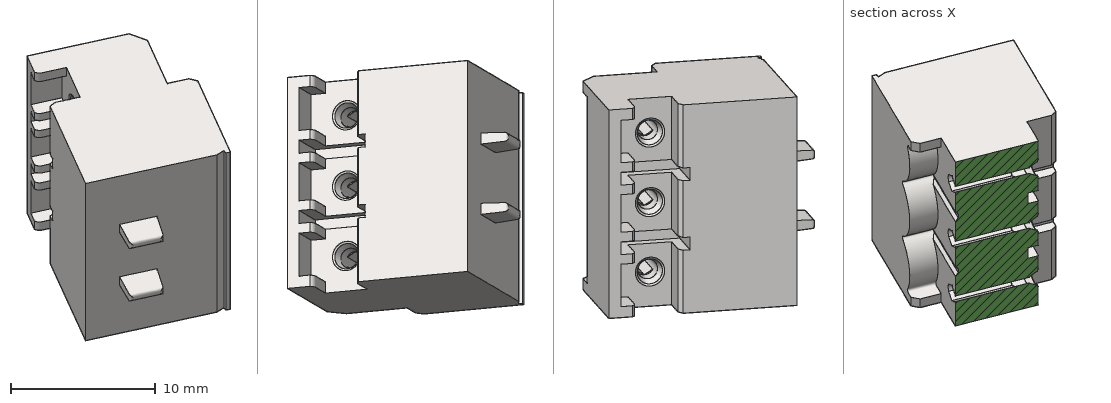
import cadquery as cq
import math

BODY_LENGTH = 13.41
BODY_DEPTH = 10.5
PITCH = 5.0
CONTACTS = 3
BODY_HEIGHT = CONTACTS * PITCH
HOLE_LEVELS = [PITCH * (i + 0.5) for i in range(CONTACTS)]
PARTING_LEVELS = [PITCH * i for i in range(1, CONTACTS)]
END_WALL = 0.8

SHOULDER_X = 5.54
SHOULDER_Y = 8.41
BACK_CHAMFER = 1.02
REAR_CHAMFER_X = 0.40
REAR_CHAMFER_Y = 0.53
LATCH_LIP = 0.34
LATCH_UNDERCUT_Y = 0.40
LATCH_DEPTH = 0.26
LATCH_END = 0.98

TROUGH_START_X = 1.93
TROUGH_END_X = 5.03
TROUGH_DEPTH = 2.25
LIP_RADIUS = 0.55
LIP_ROUND_X = 0.25
MOUTH_CHAMFER_X = 0.27
MOUTH_CHAMFER_Y = 0.43

LIP_THICKNESS = 0.875
TOOTH_HEIGHT = 2.3
SLOT_HEIGHT = 0.92
SLOT_END_X = 5.79
SLOT_DEPTH = 3.0

HOLE_X = 3.5
HOLE_DIAMETER = 1.4
FUNNEL_DIAMETER = 1.8
RIM_DIAMETER = 2.08
RIM_DEPTH = 0.08
FUNNEL_DEPTH = 0.6
THROAT_LENGTH = 1.0
FLAT_DISTANCE = 0.6
FLAT_ANGLE = 60

RECESS_X = 1.47
RECESS_START_Y = 6.62
RECESS_ROUND = 0.54
BOSS_APEX_X = 6.15
BOSS_RADIUS = 2.75
VALLEY_RADIUS = 0.18
NOTCH_DEPTH = 0.21
NOTCH_MOUTH = 0.9
NOTCH_FLOOR = 0.3

PIN_Y = 3.82
PIN_ROOT = (2.71, 0.79)
PIN_TIP = (2.42, 0.62)
PIN_LENGTH = 1.94
PIN_TIP_RADIUS = 0.22


def box(x_range, y_range, z_range):
    """Axis-aligned box between the given limits."""
    return (
        cq.Workplane("XY")
        .box(
            x_range[1] - x_range[0],
            y_range[1] - y_range[0],
            z_range[1] - z_range[0],
            centered=False,
        )
        .translate((x_range[0], y_range[0], z_range[0]))
    )


def make_body():
    """Constant cross-section with the front trough, rear shoulder and latch groove."""
    round_y = math.sqrt(LIP_RADIUS**2 - (LIP_RADIUS - LIP_ROUND_X) ** 2)
    half_angle = math.asin(round_y / LIP_RADIUS) / 2
    arc_centre_x = TROUGH_START_X - LIP_RADIUS
    arc_middle = (
        arc_centre_x + LIP_RADIUS * math.cos(half_angle),
        round_y - LIP_RADIUS * math.sin(half_angle),
    )
    return (
        cq.Workplane("XY")
        .moveTo(0, 0)
        .lineTo(TROUGH_START_X - LIP_ROUND_X, 0)
        .threePointArc(arc_middle, (TROUGH_START_X, round_y))
        .lineTo(TROUGH_START_X, TROUGH_DEPTH)
        .lineTo(TROUGH_END_X, TROUGH_DEPTH)
        .lineTo(TROUGH_END_X, MOUTH_CHAMFER_Y)
        .lineTo(TROUGH_END_X + MOUTH_CHAMFER_X, 0)
        .lineTo(BODY_LENGTH, 0)
        .lineTo(BODY_LENGTH, BODY_DEPTH - LATCH_END)
        .lineTo(BODY_LENGTH - LATCH_DEPTH, BODY_DEPTH - LATCH_UNDERCUT_Y)
        .lineTo(BODY_LENGTH, BODY_DEPTH - LATCH_LIP)
        .lineTo(BODY_LENGTH, BODY_DEPTH)
        .lineTo(SHOULDER_X + REAR_CHAMFER_X, BODY_DEPTH)
        .lineTo(SHOULDER_X, BODY_DEPTH - REAR_CHAMFER_Y)
        .lineTo(SHOULDER_X, SHOULDER_Y)
        .lineTo(BACK_CHAMFER, SHOULDER_Y)
        .lineTo(0, SHOULDER_Y - BACK_CHAMFER)
        .close()
        .extrude(BODY_HEIGHT)
    )


def cut_front_openings(body):
    """Open the front lip at every contact and cut the coding slots between contacts."""
    window_bottoms = [END_WALL] + [level + TOOTH_HEIGHT / 2 for level in PARTING_LEVELS]
    window_tops = [level - TOOTH_HEIGHT / 2 for level in PARTING_LEVELS] + [BODY_HEIGHT - END_WALL]
    for span in zip(window_bottoms, window_tops):
        body = body.cut(box((LIP_THICKNESS, TROUGH_START_X), (0, TROUGH_DEPTH), span))
    for level in PARTING_LEVELS:
        span = (level - SLOT_HEIGHT / 2, level + SLOT_HEIGHT / 2)
        body = body.cut(box((LIP_THICKNESS, SLOT_END_X), (0, SLOT_DEPTH), span))
    return body


def make_hole_cutters():
    """Funnelled round entry and a bore with four flats, both along +Y from the trough floor."""
    rim_y = TROUGH_DEPTH + RIM_DEPTH
    throat_y = rim_y + FUNNEL_DEPTH
    bore_y = throat_y + THROAT_LENGTH
    entry = (
        cq.Workplane("XY")
        .moveTo(0, TROUGH_DEPTH)
        .lineTo(RIM_DIAMETER / 2, TROUGH_DEPTH)
        .lineTo(FUNNEL_DIAMETER / 2, rim_y)
        .lineTo(HOLE_DIAMETER / 2, throat_y)
        .lineTo(HOLE_DIAMETER / 2, bore_y)
        .lineTo(0, bore_y)
        .close()
        .revolve(360, (0, 0, 0), (0, 1, 0))
    )
    corner_x = FLAT_DISTANCE / math.cos(math.radians(FLAT_ANGLE))
    corner_z = FLAT_DISTANCE / math.sin(math.radians(FLAT_ANGLE))
    bore_length = SHOULDER_Y - TROUGH_DEPTH
    bore = cq.Workplane("XZ", origin=(0, SHOULDER_Y, 0)).circle(HOLE_DIAMETER / 2).extrude(bore_length)
    flats = (
        cq.Workplane("XZ", origin=(0, SHOULDER_Y, 0))
        .polyline([(corner_x, 0), (0, corner_z), (-corner_x, 0), (0, -corner_z)])
        .close()
        .extrude(bore_length)
    )
    return entry, bore.intersect(flats)


def cut_wire_holes(body):
    """One wire hole per contact."""
    entry, bore = make_hole_cutters()
    for level in HOLE_LEVELS:
        body = body.cut(bore.translate((HOLE_X, 0, level)))
        body = body.cut(entry.translate((HOLE_X, 0, level)))
    return body


def cut_rear_recess(body):
    """Recess between the end walls, rounded at its front edge."""
    recess = (
        cq.Workplane("XY", origin=(0, 0, END_WALL))
        .moveTo(0, RECESS_START_Y - RECESS_ROUND)
        .radiusArc((RECESS_ROUND, RECESS_START_Y), RECESS_ROUND)
        .lineTo(RECESS_X, RECESS_START_Y)
        .lineTo(RECESS_X, SHOULDER_Y)
        .lineTo(0, SHOULDER_Y)
        .close()
        .extrude(BODY_HEIGHT - 2 * END_WALL)
    )
    return body.cut(recess)


def make_notch(level):
    """Trapezoidal groove along X in the rear face of the shoulder."""
    floor_y = SHOULDER_Y - NOTCH_DEPTH
    return (
        cq.Workplane("YZ")
        .moveTo(SHOULDER_Y, level - NOTCH_MOUTH / 2)
        .lineTo(floor_y, level - NOTCH_FLOOR / 2)
        .lineTo(floor_y, level + NOTCH_FLOOR / 2)
        .lineTo(SHOULDER_Y, level + NOTCH_MOUTH / 2)
        .close()
        .extrude(BOSS_APEX_X + BOSS_RADIUS)
    )


def shape_bosses(body):
    """Form three rounded bosses between the end walls, with a notch below each valley."""
    span = (END_WALL, BODY_HEIGHT - END_WALL)
    bottom_y = SHOULDER_Y - NOTCH_DEPTH
    axis_x = BOSS_APEX_X + BOSS_RADIUS
    gap = box((SHOULDER_X, axis_x), (bottom_y, BODY_DEPTH), span)
    for level in HOLE_LEVELS:
        boss = (
            cq.Workplane("XZ", origin=(axis_x, BODY_DEPTH, level))
            .circle(BOSS_RADIUS)
            .extrude(BODY_DEPTH - bottom_y)
        )
        gap = gap.cut(boss)
    gap = gap.solids("<X").edges("|Y").edges("not <X").fillet(VALLEY_RADIUS)

    rear = (SHOULDER_Y, BODY_DEPTH)
    body = body.cut(gap.intersect(box((SHOULDER_X, axis_x), rear, span)))
    notch_reach = box((0, SHOULDER_X), (bottom_y, SHOULDER_Y), span).union(gap)
    for level in PARTING_LEVELS:
        body = body.cut(make_notch(level).intersect(notch_reach))
    return body


def make_pin(level):
    """Tapered rectangular pin with a rounded tip."""
    return (
        cq.Workplane("YZ", origin=(BODY_LENGTH, PIN_Y, level))
        .rect(*PIN_ROOT)
        .workplane(offset=PIN_LENGTH)
        .rect(*PIN_TIP)
        .loft(ruled=True)
        .faces(">X")
        .edges()
        .fillet(PIN_TIP_RADIUS)
    )


housing = make_body()
housing = cut_front_openings(housing)
housing = cut_wire_holes(housing)
housing = cut_rear_recess(housing)
housing = shape_bosses(housing)
for pin_level in PARTING_LEVELS:
    housing = housing.union(make_pin(pin_level))

result = housing